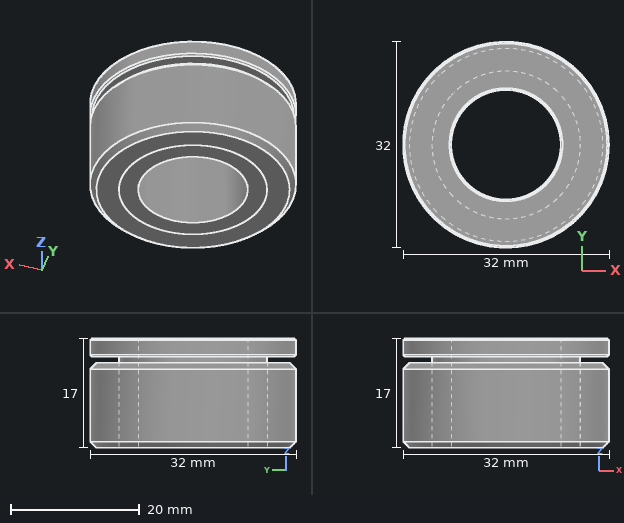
import cadquery as cq

outer_diameter = 32.0
total_height = 17.0

bore_diameter = 17.0
sleeve_diameter = 23.0
flange_thickness = 2.85
flange_chamfer = 0.3
bore_chamfer = 0.3

groove_width = 0.9
ring_chamfer = 1.0

flange_bottom = total_height - flange_thickness
ring_height = flange_bottom - groove_width


def make_flanged_bushing():
    """Sleeve running through the ring, with a flange on top and a through bore."""
    sleeve = cq.Workplane("XY").circle(sleeve_diameter / 2).extrude(flange_bottom)
    flange = (
        cq.Workplane("XY")
        .workplane(offset=flange_bottom)
        .circle(outer_diameter / 2)
        .extrude(flange_thickness)
        .edges("%CIRCLE")
        .chamfer(flange_chamfer)
    )
    bushing = sleeve.union(flange).faces(">Z").workplane().hole(bore_diameter)
    return bushing.faces(">Z").edges(cq.selectors.RadiusNthSelector(0)).chamfer(bore_chamfer)


def make_ring():
    """Ring chamfered on both outer rims, fitting closely around the sleeve."""
    return (
        cq.Workplane("XY")
        .circle(outer_diameter / 2)
        .extrude(ring_height)
        .edges("%CIRCLE")
        .chamfer(ring_chamfer)
        .faces(">Z")
        .workplane()
        .hole(sleeve_diameter)
    )


bushing = make_flanged_bushing()
ring = make_ring()

result = cq.Compound.makeCompound([bushing.val(), ring.val()])